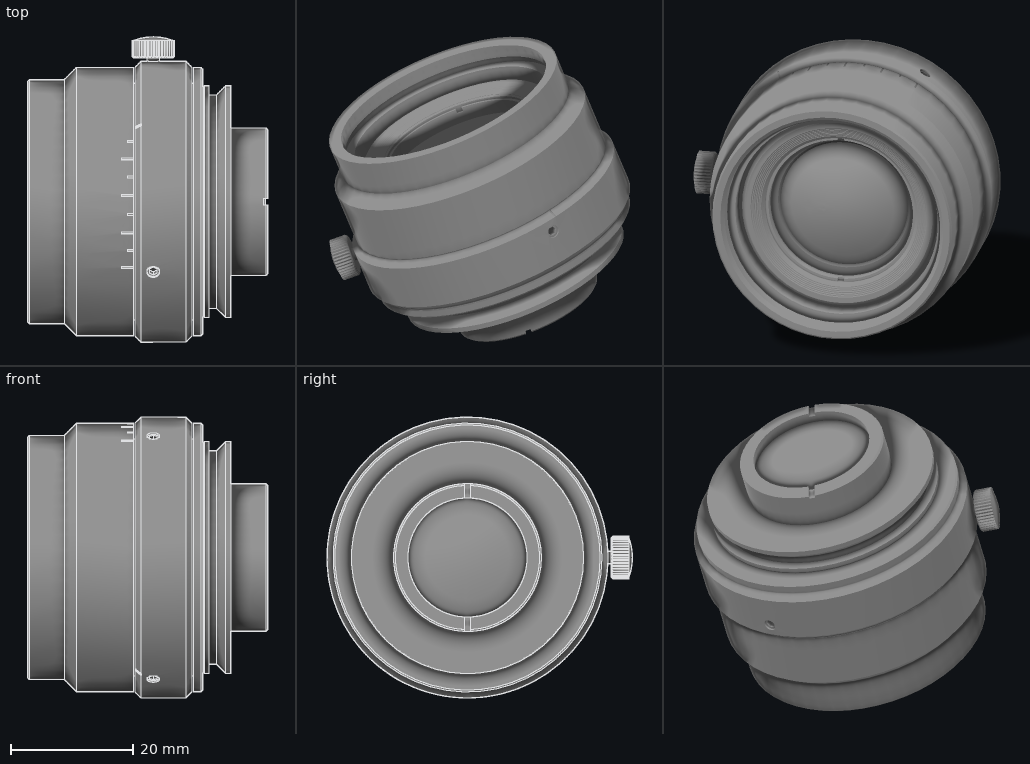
import cadquery as cq
import math


total_length = 39.3
front_radius = 20.0
front_length = 6.0
edge_chamfer = 0.3
barrel_radius = 22.0
barrel_end = 17.35
gap_radius = 19.4
ring_start = 17.55
ring_radius = 23.0
ring_chamfer = 1.0
ring_end = 26.9
back_ring_start = 27.1
back_ring_end = 28.65

mount_radius = 19.0
mount_collar_start = 28.95
mount_collar_chamfer = 0.15
mount_collar_end = 29.7
mount_neck_radius = 17.5
mount_cone_start = 30.9
mount_end = 33.25
rear_tube_radius = 12.1
rear_lens_radius = 9.75
rear_lens_depth = 0.4
rear_lens_bulge = 1.5
rear_slot_width = 1.0
rear_slot_depth = 0.7

filter_radius = 18.0
filter_chamfer = 0.6
filter_thread_end = 2.75
filter_relief_radius = 18.6
filter_seat = 4.0
hood_radius = 16.9
lip_front = 5.75
lip_inner_radius = 14.7
lip_outer_radius = 15.65
lip_chamfer = 0.6
lip_groove_floor = 7.0
baffle_end = 6.45
baffle_end_radius = 13.1
baffle_bore_radius = 12.8
baffle_bore_end = 6.8
baffle_teeth = 6
retainer_front = 7.45
retainer_outer_radius = 12.55
retainer_radius = 12.05
retainer_end = 9.1
retainer_slot_width = 1.1
retainer_slot_depth = 0.75
lens_relief_radius = 12.65
lens_seat = 10.15
lens_seat_radius = 11.0
lens_radius = 10.6
lens_bulge = 3.4

screw_x = 20.55
stem_radius = 1.05
knob_radius = 3.5
knob_bottom = 23.5
knob_shoulder = 26.4
knob_top = 27.0
knurl_count = 40
knurl_depth = 0.25
set_screw_angles = (120, -120)
set_hole_radius = 1.025
set_hole_depth = 0.35
socket_width = 1.3
socket_depth = 1.0

tick_count = 8
tick_first_angle = 26.6
tick_step_angle = 8.0
tick_width = 0.3
tick_short = 1.0
tick_long = 2.0
tick_depth = 0.1
index_angle = 33.4


def revolve_about_x(profile):
    return profile.close().revolve(360, (0, 0, 0), (1, 0, 0))


def half_way_sag(edge_radius, bulge):
    """Drop below the apex, at half the edge radius, of a spherical cap."""
    curvature = (edge_radius**2 + bulge**2) / (2 * bulge)
    return curvature - math.sqrt(curvature**2 - (edge_radius / 2) ** 2)


def make_body():
    mount_cone_end = mount_cone_start + mount_radius - mount_neck_radius
    collar_front_radius = mount_radius - mount_collar_chamfer
    outline = [
        (0, 0),
        (0, front_radius - edge_chamfer),
        (edge_chamfer, front_radius),
        (front_length, front_radius),
        (front_length + barrel_radius - front_radius, barrel_radius),
        (barrel_end, barrel_radius),
        (barrel_end, gap_radius),
        (ring_start, gap_radius),
        (ring_start, ring_radius - ring_chamfer),
        (ring_start + ring_chamfer, ring_radius),
        (ring_end - ring_chamfer, ring_radius),
        (ring_end, ring_radius - ring_chamfer),
        (ring_end, gap_radius),
        (back_ring_start, gap_radius),
        (back_ring_start, barrel_radius),
        (back_ring_end - edge_chamfer, barrel_radius),
        (back_ring_end, barrel_radius - edge_chamfer),
        (back_ring_end, collar_front_radius),
        (mount_collar_start - mount_collar_chamfer, collar_front_radius),
        (mount_collar_start, mount_radius),
        (mount_collar_end, mount_radius),
        (mount_collar_end, mount_neck_radius),
        (mount_cone_start, mount_neck_radius),
        (mount_cone_end, mount_radius),
        (mount_end, mount_radius),
        (mount_end, rear_tube_radius),
        (total_length - edge_chamfer, rear_tube_radius),
        (total_length, rear_tube_radius - edge_chamfer),
        (total_length, 0),
    ]
    return revolve_about_x(cq.Workplane("XY").polyline(outline))


def baffle_points():
    """Saw-tooth steps: half of each tooth is a flat tread, half a sloping riser."""
    step_in = (lip_inner_radius - baffle_end_radius) / baffle_teeth
    step_deep = (baffle_end - lip_front) / baffle_teeth
    points = []
    for tooth in range(baffle_teeth):
        x = lip_front + tooth * step_deep
        radius = lip_inner_radius - tooth * step_in
        points.append((x, radius))
        points.append((x + step_deep, radius - step_in / 2))
    points.append((baffle_end, baffle_end_radius))
    return points


def make_front_opening():
    lens_edge = lens_seat + lens_seat_radius - lens_radius
    lens_apex = lens_edge - lens_bulge
    mid_sag = half_way_sag(lens_radius, lens_bulge)
    outline = [
        (0, 0),
        (0, filter_radius + filter_chamfer),
        (filter_chamfer, filter_radius),
        (filter_thread_end, filter_radius),
        (filter_thread_end, filter_relief_radius),
        (filter_seat, filter_relief_radius),
        (filter_seat, hood_radius),
        (lip_groove_floor, hood_radius),
        (lip_groove_floor, lip_outer_radius + lip_chamfer),
        (lip_front + lip_chamfer, lip_outer_radius + lip_chamfer),
        (lip_front, lip_outer_radius),
    ]
    outline += baffle_points()
    outline += [
        (baffle_end + baffle_end_radius - baffle_bore_radius, baffle_bore_radius),
        (baffle_bore_end, baffle_bore_radius),
        (baffle_bore_end + baffle_bore_radius - retainer_outer_radius, retainer_outer_radius),
        (retainer_front, retainer_outer_radius),
        (retainer_front, retainer_radius),
        (retainer_end, retainer_radius),
        (retainer_end, lens_relief_radius),
        (lens_seat, lens_relief_radius),
        (lens_seat, lens_seat_radius),
        (lens_edge, lens_radius),
    ]
    profile = cq.Workplane("XY").polyline(outline)
    profile = profile.threePointArc((lens_apex + mid_sag, lens_radius / 2), (lens_apex, 0))
    return revolve_about_x(profile)


def make_retainer_slots():
    """Two spanner slots in the lens retainer, at the top and bottom."""
    bar = cq.Workplane("XY").box(
        retainer_slot_depth, retainer_slot_width, 2 * retainer_outer_radius, centered=(False, True, True)
    )
    lens_space = cq.Workplane("YZ").circle(retainer_radius).extrude(retainer_slot_depth)
    return bar.cut(lens_space).translate((retainer_front, 0, 0))


def make_rear_opening():
    """Rear bore ending on a convex lens, with a spanner slot across the tube wall."""
    lens_apex = total_length - rear_lens_depth
    lens_edge = lens_apex - rear_lens_bulge
    mid_sag = half_way_sag(rear_lens_radius, rear_lens_bulge)
    bore = revolve_about_x(
        cq.Workplane("XY")
        .moveTo(total_length, 0)
        .lineTo(total_length, rear_lens_radius)
        .lineTo(lens_edge, rear_lens_radius)
        .threePointArc((lens_apex - mid_sag, rear_lens_radius / 2), (lens_apex, 0))
    )
    slot = cq.Workplane("XY").box(
        rear_slot_depth, rear_slot_width, 2 * rear_tube_radius, centered=(False, True, True)
    )
    lens_space = cq.Workplane("YZ").circle(rear_lens_radius).extrude(rear_slot_depth)
    wall_slots = slot.cut(lens_space).translate((total_length - rear_slot_depth, 0, 0))
    return bore.union(wall_slots)


def make_thumb_screw():
    """V-knurled knob with a domed top, on a thin stem out of the +Y side of the ring."""
    core_radius = knob_radius - knurl_depth
    dome_rise = knob_top - knob_shoulder
    mid_sag = half_way_sag(core_radius, dome_rise)
    stem_bottom = ring_radius - 2 * ring_chamfer
    knob = (
        cq.Workplane("XY")
        .moveTo(0, stem_bottom)
        .lineTo(stem_radius, stem_bottom)
        .lineTo(stem_radius, knob_bottom)
        .lineTo(knob_radius - edge_chamfer, knob_bottom)
        .lineTo(knob_radius, knob_bottom + edge_chamfer)
        .lineTo(knob_radius, knob_shoulder)
        .lineTo(core_radius, knob_shoulder)
        .threePointArc((core_radius / 2, knob_top - mid_sag), (0, knob_top))
        .close()
        .revolve(360, (0, 0, 0), (0, 1, 0))
    )
    knurl = (
        cq.Workplane("XZ", origin=(0, knob_top, 0))
        .polarArray(knob_radius, 0, 360, knurl_count)
        .polygon(4, 2 * knurl_depth)
        .extrude(knob_top - knob_bottom)
    )
    return knob.cut(knurl).translate((screw_x, 0, 0))


def make_set_screw_recess(angle):
    """Round recess with a hexagon socket in its floor, pointing out at an angle from +Y."""
    hole = (
        cq.Workplane("XZ", origin=(0, ring_radius - set_hole_depth, 0))
        .circle(set_hole_radius)
        .extrude(-2 * set_hole_depth)
    )
    socket = (
        cq.Workplane("XZ", origin=(0, ring_radius - set_hole_depth - socket_depth, 0))
        .polygon(6, socket_width, circumscribed=True)
        .extrude(-2 * socket_depth)
    )
    return hole.union(socket).translate((screw_x, 0, 0)).rotate((0, 0, 0), (1, 0, 0), angle)


def make_tick(length, angle):
    """Thin engraved line at the rear edge of the barrel, at an angle from +Z towards +Y."""
    tick = cq.Workplane("XY").box(length, tick_width, 2 * tick_depth)
    tick = tick.translate((barrel_end - length / 2, 0, barrel_radius))
    return tick.rotate((0, 0, 0), (1, 0, 0), -angle)


def make_index_mark(angle):
    """Thin engraved line down the front chamfer of the clamping ring."""
    chamfer_slope = ring_chamfer * math.sqrt(2)
    mark = cq.Workplane("XY").box(chamfer_slope, tick_width, 2 * tick_depth)
    mark = mark.rotate((0, 0, 0), (0, 1, 0), -45)
    mark = mark.translate((ring_start + ring_chamfer / 2, 0, ring_radius - ring_chamfer / 2))
    return mark.rotate((0, 0, 0), (1, 0, 0), -angle)


result = make_body()
result = result.cut(make_front_opening())
result = result.cut(make_retainer_slots())
result = result.cut(make_rear_opening())
result = result.union(make_thumb_screw())

for screw_angle in set_screw_angles:
    result = result.cut(make_set_screw_recess(screw_angle))

for tick in range(tick_count):
    tick_length = tick_long if tick % 2 else tick_short
    tick_angle = tick_first_angle - tick * tick_step_angle
    result = result.cut(make_tick(tick_length, tick_angle))

for mark_angle in (index_angle, index_angle + 180):
    result = result.cut(make_index_mark(mark_angle))